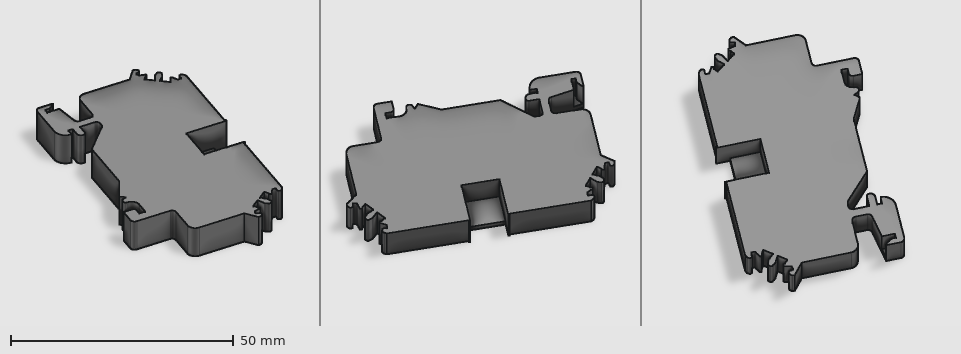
import cadquery as cq
import math

total_height = 36.2
thickness = 8.0
wall_x = 28.05
wall_top_y = 23.9
shoulder_y = 35.9
block_bottom_y = 10.5
block_corner_radius = 1.95

notch_half_width = 4.35
notch_bottom_y = 26.0
notch_floor_edge_y = 33.0
notch_floor_thickness = 1.35
ridge_width = 0.3

comb_center = (24.8, 29.3)
comb_angle = math.radians(37)
comb_lower_end = (30.75, 26.15)
comb_upper_end_x = 23.45
tooth_radius = 0.2
finger_tip_radius = 0.4
finger_bulge_radius = 0.35
half_comb = [
    (0.5, 3.1, finger_tip_radius),
    (0.85, 1.85, finger_bulge_radius),
    (0.55, 0.0, 0),
    (2.95, 0.0, 0),
    (2.9, 1.1, 0),
    (2.65, 1.5, tooth_radius),
    (2.9, 1.85, tooth_radius),
    (4.5, 1.15, tooth_radius),
    (5.2, 1.7, tooth_radius),
    (4.5, 2.6, tooth_radius),
    (4.8, 3.15, tooth_radius),
    (5.55, 3.2, tooth_radius),
]

neck_outer_x = 19.5
neck_fillet = 1.0
foot_corner_radius = 1.05
toe_top_y = 2.95
underside_y = 4.4

right_toe_x = 15.1
right_toe_radius = 0.8
jaw_x = 17.2
jaw_arc_radius = 1.9
nub_left_x = 11.0
nub_right_x = 12.3
nub_bottom_y = 1.65
nub_radius = 0.75
nub_valley = (10.45, 3.0)
heel = (9.55, 1.85)
ramp_start_x = 4.6

neck_inner_x = -17.5
neck_inner_radius = 0.85
slope_bottom_x = -8.9
slope_top_x = -15.5
slope_top_radius = 0.85
finger_x = -14.5
finger_top_y = 5.9
finger_bottom_y = 4.05
finger_top_radius = 0.6
finger_bottom_radius = 1.1
left_toe_x = -15.9
left_toe_radius = 2.9
foot_slope_top_y = 6.0

slit_left_x = -26.7
slit_right_x = -25.65
slit_bottom_y = 1.85
slit_mouth_left_x = -27.85
slit_floor_z = 1.55


def rounded_outline(corners):
    """Closed wire through (x, y, radius) corners; a radius of 0 keeps the corner sharp."""
    segments = []
    for index, (x, y, radius) in enumerate(corners):
        corner = cq.Vector(x, y)
        before = cq.Vector(*corners[index - 1][:2])
        after = cq.Vector(*corners[(index + 1) % len(corners)][:2])
        if radius == 0:
            segments.append((corner, None, corner))
            continue
        to_before = (before - corner).normalized()
        to_after = (after - corner).normalized()
        half_angle = to_before.getAngle(to_after) / 2
        setback = radius / math.tan(half_angle)
        bisector = (to_before + to_after).normalized()
        arc_middle = corner + bisector * (radius / math.sin(half_angle) - radius)
        segments.append((corner + to_before * setback, arc_middle, corner + to_after * setback))

    first_start = segments[0][0]
    outline = cq.Workplane("XY").moveTo(first_start.x, first_start.y)
    for index, (start, middle, end) in enumerate(segments):
        if index > 0:
            outline = outline.lineTo(start.x, start.y)
        if middle is not None:
            outline = outline.threePointArc((middle.x, middle.y), (end.x, end.y))
    return outline.close()


def mirrored(corners):
    """The corners reflected in X = 0, in reverse order to keep the direction of travel."""
    return [(-x, y, radius) for x, y, radius in reversed(corners)]


def right_comb():
    """Comb corners from its lowest tooth up to its highest."""
    upper_half = [(-along, out, radius) for along, out, radius in half_comb]
    cos_a = math.cos(comb_angle)
    sin_a = math.sin(comb_angle)
    return [
        (
            comb_center[0] + along * sin_a + out * cos_a,
            comb_center[1] - along * cos_a + out * sin_a,
            radius,
        )
        for along, out, radius in half_comb[::-1] + upper_half
    ]


def right_upper_half():
    """Corners from the right neck up round the block to the notch."""
    ridge_x = notch_half_width + ridge_width
    return [
        (neck_outer_x, block_bottom_y, neck_fillet),
        (wall_x, block_bottom_y, block_corner_radius),
        (wall_x, wall_top_y, 0),
        (*comb_lower_end, 0),
        *right_comb(),
        (comb_upper_end_x, shoulder_y, 0),
        (ridge_x, shoulder_y, 0),
        (ridge_x, total_height, 0),
        (notch_half_width, total_height, 0),
        (notch_half_width, notch_bottom_y, 0),
    ]


def left_foot():
    """Corners from the left neck round the spring jaw to the flat underside."""
    return [
        (-neck_outer_x, foot_slope_top_y, neck_fillet),
        (-wall_x, underside_y, 0),
        (-wall_x, 0, foot_corner_radius),
        (left_toe_x, 0, left_toe_radius),
        (left_toe_x, toe_top_y, 0),
        (neck_inner_x, toe_top_y, 0),
        (neck_inner_x, finger_bottom_y, 0),
        (finger_x, finger_bottom_y, finger_bottom_radius),
        (finger_x, finger_top_y, finger_top_radius),
        (neck_inner_x, finger_top_y, 0),
        (neck_inner_x, block_bottom_y, neck_inner_radius),
        (slope_top_x, block_bottom_y, slope_top_radius),
        (slope_bottom_x, underside_y, 0),
    ]


def right_foot():
    """Corners from the flat underside round the fixed jaw to its outer face."""
    return [
        (ramp_start_x, underside_y, 0),
        (*heel, 0),
        (*nub_valley, 0),
        (nub_left_x, nub_bottom_y, nub_radius),
        (nub_right_x, nub_bottom_y, nub_radius),
        (nub_right_x, underside_y, jaw_arc_radius),
        (jaw_x, underside_y, 0),
        (jaw_x, toe_top_y, 0),
        (right_toe_x, toe_top_y, right_toe_radius),
        (right_toe_x, 0, 0),
        (neck_outer_x, 0, foot_corner_radius),
    ]


def notch_floor():
    depth = notch_floor_edge_y - notch_bottom_y
    floor = cq.Workplane("XY").box(
        2 * notch_half_width, depth, notch_floor_thickness, centered=(True, False, False)
    )
    return floor.translate((0, notch_bottom_y, 0))


def foot_slit():
    slope = (foot_slope_top_y - underside_y) / (wall_x - neck_outer_x)
    mouth_left_y = underside_y + slope * (slit_mouth_left_x + wall_x)
    return (
        cq.Workplane("XY", origin=(0, 0, slit_floor_z))
        .moveTo(slit_mouth_left_x, mouth_left_y)
        .lineTo(slit_left_x, toe_top_y)
        .lineTo(slit_left_x, slit_bottom_y)
        .lineTo(slit_right_x, slit_bottom_y)
        .lineTo(slit_right_x, foot_slope_top_y)
        .lineTo(slit_mouth_left_x, foot_slope_top_y)
        .close()
        .extrude(thickness - slit_floor_z)
    )


upper_right = right_upper_half()
profile = upper_right + mirrored(upper_right) + left_foot() + right_foot()
body = rounded_outline(profile).extrude(thickness)
result = body.union(notch_floor()).cut(foot_slit())